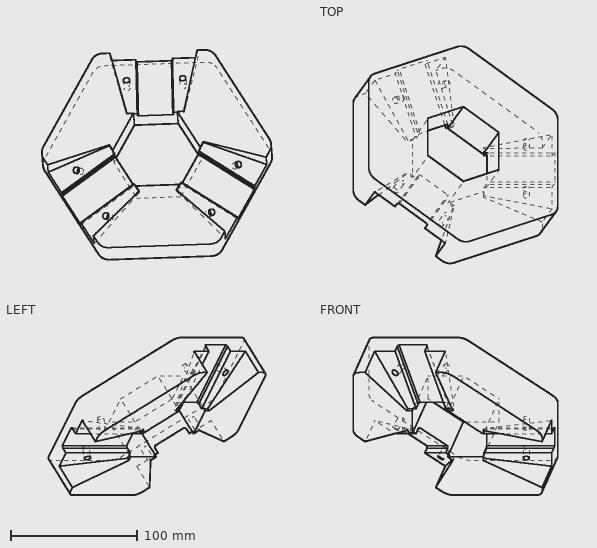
import cadquery as cq
import math

ACROSS_FLATS = 160.0
SIDES = 6
THICKNESS = 35.0
CORNER_RADIUS = 10.0
BORE_ACROSS_FLATS = 60.0

GOLDEN_RATIO = (1 + math.sqrt(5)) / 2
FACE_TILT = math.degrees(math.acos((1 + GOLDEN_RATIO) / math.sqrt(3) / math.sqrt(2 + GOLDEN_RATIO)))
FACE_TURN = 36.0
HALF_DIHEDRAL = math.degrees(math.atan(1 / GOLDEN_RATIO**2))

POCKET_COUNT = 3
POCKET_OUTER_HALF_WIDTH = 34.5
POCKET_INNER_HALF_WIDTH = 22.5
POCKET_OUTER_HEIGHT = 21.19

CHANNEL_DEPTH = 6.0
CHANNEL_HALF_WIDTH = 14.5
CHANNEL_CHAMFER_WIDTH = 1.0
CHANNEL_CHAMFER_HEIGHT = 1.58

SCREW_DIAMETER = 5.0
SCREW_DEPTH = 10.0
SCREW_OFFSET = 22.25
SCREW_DISTANCE_FROM_RIM = 20.1

APOTHEM = ACROSS_FLATS / 2
BORE_APOTHEM = BORE_ACROSS_FLATS / 2
POCKET_LENGTH = APOTHEM - BORE_APOTHEM
CHANNEL_OVERRUN = 15.0


def hexagon_prism(across_flats):
    corner_diameter = across_flats / math.cos(math.pi / SIDES)
    return cq.Workplane("XY").polygon(SIDES, corner_diameter).extrude(THICKNESS)


def ring():
    body = hexagon_prism(ACROSS_FLATS).edges("|Z").fillet(CORNER_RADIUS)
    return body.cut(hexagon_prism(BORE_ACROSS_FLATS))


def roof_plane():
    """Plane of the pocket roof: local x across the pocket, local y down the slope to the bore."""
    plane = cq.Plane(origin=(0, -APOTHEM, POCKET_OUTER_HEIGHT))
    return plane.rotated((-HALF_DIHEDRAL, 0, 0))


def pocket():
    """Tapered pocket from the outer flat to the bore flat, cut off below the sloping roof."""
    inner_height = POCKET_OUTER_HEIGHT - POCKET_LENGTH * math.tan(math.radians(HALF_DIHEDRAL))
    plan = [
        (-POCKET_OUTER_HALF_WIDTH, -APOTHEM),
        (POCKET_OUTER_HALF_WIDTH, -APOTHEM),
        (POCKET_INNER_HALF_WIDTH, -BORE_APOTHEM),
        (-POCKET_INNER_HALF_WIDTH, -BORE_APOTHEM),
    ]
    side = [
        (-APOTHEM, 0),
        (-BORE_APOTHEM, 0),
        (-BORE_APOTHEM, inner_height),
        (-APOTHEM, POCKET_OUTER_HEIGHT),
    ]
    prism = cq.Workplane("XY").polyline(plan).close().extrude(POCKET_OUTER_HEIGHT)
    wedge = cq.Workplane("YZ").polyline(side).close().extrude(POCKET_OUTER_HALF_WIDTH, both=True)
    return prism.intersect(wedge)


def channel():
    """Channel sunk into the pocket roof, running past both ends of the pocket."""
    half_section = [
        (CHANNEL_HALF_WIDTH, 0),
        (CHANNEL_HALF_WIDTH, CHANNEL_DEPTH - CHANNEL_CHAMFER_HEIGHT),
        (CHANNEL_HALF_WIDTH - CHANNEL_CHAMFER_WIDTH, CHANNEL_DEPTH),
    ]
    mirrored_half = [(-x, depth) for x, depth in reversed(half_section)]
    roof = roof_plane()
    start = roof.toWorldCoords((0, -CHANNEL_OVERRUN, 0))
    section_plane = cq.Plane(origin=start, xDir=(1, 0, 0), normal=-roof.yDir)
    run = POCKET_LENGTH / math.cos(math.radians(HALF_DIHEDRAL)) + 2 * CHANNEL_OVERRUN
    return cq.Workplane(section_plane).polyline(half_section + mirrored_half).close().extrude(-run)


def screw_holes():
    centres = [(side * SCREW_OFFSET, SCREW_DISTANCE_FROM_RIM) for side in (-1, 1)]
    holes = cq.Workplane(roof_plane()).pushPoints(centres).circle(SCREW_DIAMETER / 2)
    return holes.extrude(SCREW_DEPTH)


def pocket_cutters():
    return (pocket(), channel(), screw_holes())


def tilted(body):
    """Centre the flat ring on the origin and tilt it to the icosahedron face."""
    centred = body.translate((0, 0, -THICKNESS / 2))
    leaning = centred.rotate((0, 0, 0), (1, 0, 0), -FACE_TILT)
    return leaning.rotate((0, 0, 0), (0, 0, 1), -FACE_TURN)


part = ring()
for index in range(POCKET_COUNT):
    angle = index * 360 / POCKET_COUNT
    for cutter in pocket_cutters():
        part = part.cut(cutter.rotate((0, 0, 0), (0, 0, 1), angle))

result = tilted(part)